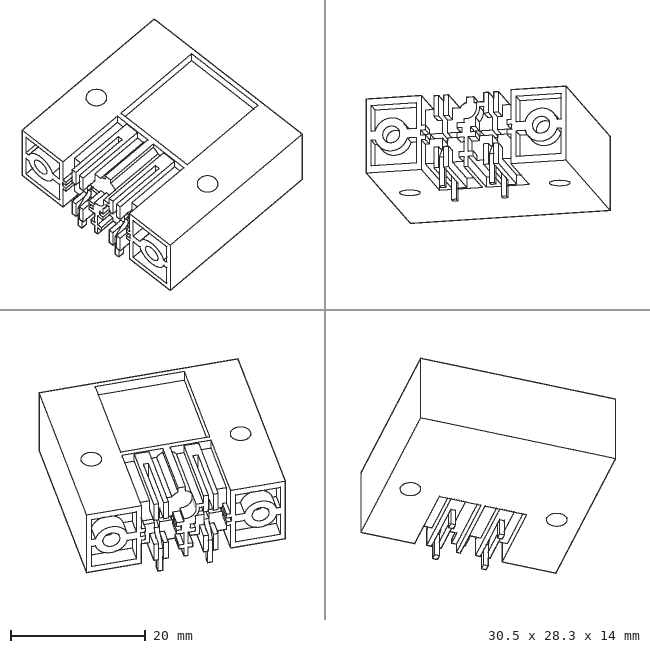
import cadquery as cq
import math


WIDTH = 30.48
DEPTH = 28.3
HEIGHT = 11.43
HALF_HEIGHT = HEIGHT / 2
WALL = 0.75

BAY_WIDTH = 13.65
BAY_DEPTH = 2.5
WELL_DEPTH = 11.65
CORE_HALF_HEIGHT = 4.15
RECESS_DROP = 1.75

SIDE_SPACING = 22.85
MOUNT_HOLE_DIAMETER = 3.05
MOUNT_HOLE_Y = 11.95
POCKET_WIDTH = (WIDTH - BAY_WIDTH) / 2 - 2 * WALL
POCKET_SPACING = (WIDTH + BAY_WIDTH) / 2
POCKET_HEIGHT = 9.27
BOSS_DIAMETER = 5.1
BOSS_BORE_DIAMETER = 2.6
WEB_THICKNESS = 1.4

CONTACT_PITCH = 7.62
CONTACT_THICKNESS = 0.75
CONTACT_FRONT = 0.5
LEG_WIDTH = 1.0
LEG_PITCH = 7.62
LEG_LENGTH = 2.55
LEG_BEND = 2.25
BEND_ANGLE = 45.0
BRIDGE_TOP = -1.6
WING_WIDTH = 4.5
WING_FRONT = 6.65

FIN_WIDTH = 2.25
FIN_OUTER = 5.55
FIN_INNER = 2.38
GROOVE_WIDTH = 6.28
CHAMBER_DEPTH = CONTACT_FRONT + LEG_PITCH + LEG_WIDTH

RAIL_HEIGHT = 2.25
SIDE_RAIL_WIDTH = 0.6
CENTRE_RAIL_WIDTH = 2.85
POST_WIDTH = 0.6
FOOT_WIDTH = 2.13
FOOT_HEIGHT = 0.8

ROUND_Z = 3.23
RIDGE_RADIUS = 1.77
NECK_WIDTH = 1.13
CRADLE_INNER_RADIUS = 1.55
CRADLE_OUTER_RADIUS = 2.05
CRADLE_ARM_HEIGHT = 0.75


def box(x_min, x_max, y_min, y_max, z_min, z_max):
    """Axis-aligned block between two opposite corners."""
    size = (x_max - x_min, y_max - y_min, z_max - z_min)
    return cq.Workplane("XY").box(*size, centered=False).translate((x_min, y_min, z_min))


def centred_box(x_centre, width, y_min, y_max, z_min, z_max):
    """Block placed symmetrically about the plane X = x_centre."""
    return box(x_centre - width / 2, x_centre + width / 2, y_min, y_max, z_min, z_max)


def rod(x, z, diameter, length):
    """Cylinder along Y that starts at the mating face."""
    return cq.Workplane("XZ").center(x, z).circle(diameter / 2).extrude(-length)


def block_with_bay():
    """Outer block, opened at the front bay, the wells above and below the core, and the top recess."""
    body = centred_box(0, WIDTH, 0, DEPTH, -HALF_HEIGHT, HALF_HEIGHT)
    bay = centred_box(0, BAY_WIDTH, 0, BAY_DEPTH, -HALF_HEIGHT, HALF_HEIGHT)
    upper_well = centred_box(0, BAY_WIDTH, 0, WELL_DEPTH, CORE_HALF_HEIGHT, HALF_HEIGHT)
    lower_well = centred_box(0, BAY_WIDTH, 0, WELL_DEPTH, -HALF_HEIGHT, -CORE_HALF_HEIGHT)
    recess = centred_box(
        0, BAY_WIDTH, WELL_DEPTH + WALL, DEPTH - WALL, HALF_HEIGHT - RECESS_DROP, HALF_HEIGHT
    )
    return body.cut(bay).cut(upper_well).cut(lower_well).cut(recess)


def side_pocket(side):
    """Rectangular pocket around a bored boss that two webs join to its walls."""
    pocket_x = side * POCKET_SPACING / 2
    boss_x = side * SIDE_SPACING / 2
    half_height = POCKET_HEIGHT / 2
    half_web = WEB_THICKNESS / 2
    pocket = centred_box(pocket_x, POCKET_WIDTH, 0, BAY_DEPTH, -half_height, half_height)
    web = centred_box(pocket_x, POCKET_WIDTH, 0, BAY_DEPTH, -half_web, half_web)
    boss = rod(boss_x, 0, BOSS_DIAMETER, BAY_DEPTH)
    bore = rod(boss_x, 0, BOSS_BORE_DIAMETER, BAY_DEPTH)
    return pocket.cut(web).cut(boss).union(bore)


def mounting_hole(x):
    """Vertical through hole of a side block."""
    hole = cq.Workplane("XY").center(x, MOUNT_HOLE_Y).circle(MOUNT_HOLE_DIAMETER / 2)
    return hole.extrude(HALF_HEIGHT, both=True)


def contact_fins(x):
    """Upper and lower fins that carry the vertical slot of one contact."""
    upper = centred_box(x, FIN_WIDTH, 0, WELL_DEPTH, FIN_INNER, FIN_OUTER)
    lower = centred_box(x, FIN_WIDTH, 0, WELL_DEPTH, -FIN_OUTER, -FIN_INNER)
    return upper.union(lower)


def ridge():
    """Round-shouldered ridge on top of the core with a flat neck up to the housing top."""
    cylinder = rod(0, ROUND_Z, 2 * RIDGE_RADIUS, WELL_DEPTH)
    above_core = centred_box(0, BAY_WIDTH, BAY_DEPTH, WELL_DEPTH, CORE_HALF_HEIGHT, HALF_HEIGHT)
    neck = centred_box(0, NECK_WIDTH, BAY_DEPTH, WELL_DEPTH, CORE_HALF_HEIGHT, HALF_HEIGHT)
    return cylinder.intersect(above_core).union(neck)


def lower_round_point(radius, x):
    """Point at X on the lower half of a circle about the ridge axis."""
    return x, ROUND_Z - math.sqrt(radius**2 - x**2)


def cradle():
    """Curved trough in front of the core that an arm joins to the right-hand fin."""
    lip_x = -POST_WIDTH / 2
    support_x = CENTRE_RAIL_WIDTH / 2
    fin_x = (CONTACT_PITCH - FIN_WIDTH) / 2
    arm_bottom = CORE_HALF_HEIGHT - CRADLE_ARM_HEIGHT
    rail_top = RAIL_HEIGHT / 2
    arm_x = math.sqrt(CRADLE_OUTER_RADIUS**2 - (arm_bottom - ROUND_Z) ** 2)
    inner_middle_x = CRADLE_INNER_RADIUS / 2
    outer_middle_x = (CRADLE_OUTER_RADIUS + support_x) / 2
    profile = (
        cq.Workplane("XZ")
        .moveTo(lip_x, rail_top)
        .lineTo(*lower_round_point(CRADLE_INNER_RADIUS, lip_x))
        .threePointArc(
            lower_round_point(CRADLE_INNER_RADIUS, inner_middle_x),
            (CRADLE_INNER_RADIUS, ROUND_Z),
        )
        .lineTo(CRADLE_INNER_RADIUS, CORE_HALF_HEIGHT)
        .lineTo(fin_x, CORE_HALF_HEIGHT)
        .lineTo(fin_x, arm_bottom)
        .lineTo(arm_x, arm_bottom)
        .threePointArc(
            lower_round_point(CRADLE_OUTER_RADIUS, outer_middle_x),
            lower_round_point(CRADLE_OUTER_RADIUS, support_x),
        )
        .lineTo(support_x, rail_top)
        .close()
    )
    return profile.extrude(-BAY_DEPTH)


def rails_and_post():
    """Guide rails in the bay, and the centre post with its foot."""
    half_rail = RAIL_HEIGHT / 2
    half_bay = BAY_WIDTH / 2
    parts = centred_box(0, CENTRE_RAIL_WIDTH, 0, BAY_DEPTH, -half_rail, half_rail)
    for side in (-1, 1):
        x = side * (half_bay - SIDE_RAIL_WIDTH / 2)
        parts = parts.union(centred_box(x, SIDE_RAIL_WIDTH, 0, BAY_DEPTH, -half_rail, half_rail))
    front_post = centred_box(0, POST_WIDTH, 0, BAY_DEPTH, -HALF_HEIGHT, -half_rail)
    keel = centred_box(0, POST_WIDTH, 0, WELL_DEPTH, -HALF_HEIGHT, -CORE_HALF_HEIGHT)
    foot = centred_box(0, FOOT_WIDTH, 0, BAY_DEPTH, -CORE_HALF_HEIGHT, FOOT_HEIGHT - CORE_HALF_HEIGHT)
    return parts.union(front_post).union(keel).union(foot)


def contact_chamber(x):
    """Crossed slots that hold one contact, and the wider guide groove in front of them."""
    half_thickness = CONTACT_THICKNESS / 2
    upright = centred_box(x, CONTACT_THICKNESS, 0, CHAMBER_DEPTH, -HALF_HEIGHT, HALF_HEIGHT)
    crosswise = centred_box(x, WING_WIDTH, 0, CHAMBER_DEPTH, -half_thickness, half_thickness)
    groove = centred_box(x, GROOVE_WIDTH, 0, BAY_DEPTH, -half_thickness, half_thickness)
    return upright.union(crosswise).union(groove)


def make_housing():
    """Housing with plug pockets, mounting holes and two contact chambers."""
    body = block_with_bay()
    for side in (-1, 1):
        body = body.cut(side_pocket(side)).cut(mounting_hole(side * SIDE_SPACING / 2))
    body = body.union(ridge()).union(rails_and_post())
    for side in (-1, 1):
        body = body.union(contact_fins(side * CONTACT_PITCH / 2))
    body = body.union(cradle())
    for side in (-1, 1):
        body = body.cut(contact_chamber(side * CONTACT_PITCH / 2))
    return body


def make_contact(x):
    """Bent blade: a straight rear leg, a bridge to the front leg at 45 degrees, and a cross wing."""
    half_thickness = CONTACT_THICKNESS / 2
    tip = -HALF_HEIGHT - LEG_LENGTH
    bend_back = CONTACT_FRONT + LEG_BEND
    bend_bottom = BRIDGE_TOP - LEG_BEND
    bridge_bottom = BRIDGE_TOP - LEG_WIDTH
    front_leg_back = CONTACT_FRONT + LEG_WIDTH
    rear_leg_front = CONTACT_FRONT + LEG_PITCH
    bend_shift = LEG_WIDTH * math.tan(math.radians(BEND_ANGLE / 2))
    outline = [
        (CONTACT_FRONT, tip),
        (CONTACT_FRONT, bend_bottom),
        (bend_back, BRIDGE_TOP),
        (WING_FRONT, BRIDGE_TOP),
        (WING_FRONT, half_thickness),
        (CHAMBER_DEPTH, half_thickness),
        (CHAMBER_DEPTH, tip),
        (rear_leg_front, tip),
        (rear_leg_front, bridge_bottom),
        (bend_back + bend_shift, bridge_bottom),
        (front_leg_back, bend_bottom - bend_shift),
        (front_leg_back, tip),
    ]
    blade = cq.Workplane("YZ", origin=(x, 0, 0)).polyline(outline).close()
    blade = blade.extrude(half_thickness, both=True)
    wing = centred_box(x, WING_WIDTH, WING_FRONT, CHAMBER_DEPTH, -half_thickness, half_thickness)
    return blade.union(wing)


housing = make_housing()
contacts = [make_contact(side * CONTACT_PITCH / 2) for side in (-1, 1)]

result = cq.Compound.makeCompound([housing.solids().val(), *[contact.solids().val() for contact in contacts]])